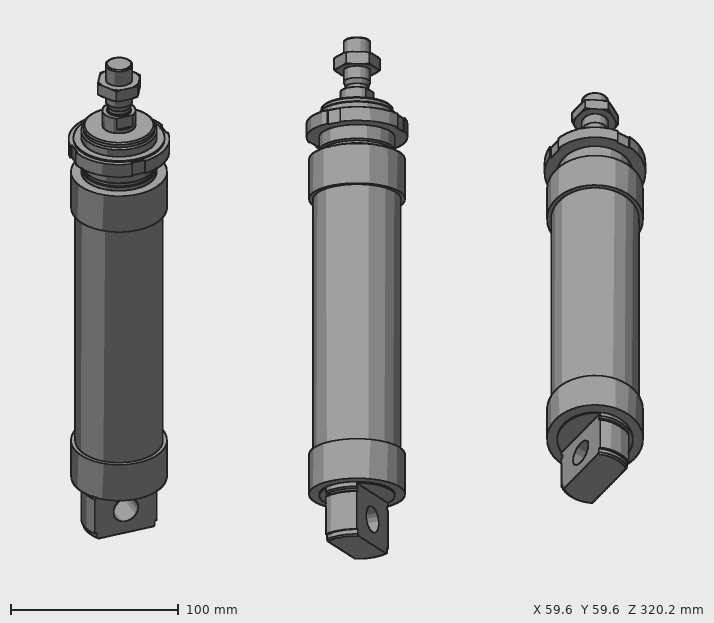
import cadquery as cq
import math


tube_diameter = 52.5
cap_diameter = 57.3
cap_length = 25.0
rear_cap_base = 33.5
front_cap_top = 245.3

spigot_diameter = 45.0
relief_diameter = 43.0
spigot_chamfer = 1.0
lead_length = 4.0

eye_thickness = 20.8
eye_hole_diameter = 16.0
eye_hole_height = 16.0
eye_top = 32.7
rear_groove_bottom = 27.5
rear_groove_top = 30.7

front_groove_bottom = 247.8
front_groove_top = 250.7
spigot_top = 277.5

ring_nut_diameter = 60.2
ring_nut_base = 259.5
ring_nut_height = 9.5
ring_nut_face_diameter = 54.5
ring_nut_step_height = 1.0
notch_count = 4
notch_width = 8.5
notch_depth = 1.3

rod_diameter = 20.0
rod_shoulder = 288.0
flats_width = 17.0
flats_length = 7.7
neck_diameter = 13.8
neck_top = 291.0
neck_flare_diameter = 14.5
neck_flare_height = 1.0
rod_thread_diameter = 16.0
rod_thread_base = 294.3
rod_thread_chamfer = 0.8
rod_top = 320.2

hex_across_flats = 24.0
hex_base = 301.5
hex_height = 7.7
hex_face_diameter = 25.0
hex_chamfer_height = 0.48


def turned(profile):
    """Solid of revolution about Z from (radius, height) points."""
    axis_points = [(0, profile[0][1])] + profile + [(0, profile[-1][1])]
    return cq.Workplane("XZ").polyline(axis_points).close().revolve(360, (0, 0), (0, 1))


def cylinder(diameter, bottom, top):
    return cq.Workplane("XY").workplane(offset=bottom).circle(diameter / 2).extrude(top - bottom)


def make_rear_eye():
    outer = spigot_diameter / 2
    inner = relief_diameter / 2
    eye = turned([
        (inner - spigot_chamfer, 0),
        (inner, spigot_chamfer),
        (inner, lead_length),
        (outer, lead_length),
        (outer, rear_groove_bottom),
        (inner, rear_groove_bottom + spigot_chamfer),
        (inner, rear_groove_top - spigot_chamfer),
        (outer, rear_groove_top),
        (outer, rear_cap_base),
    ])
    tongue = cq.Workplane("XY").box(eye_thickness, spigot_diameter, eye_top, centered=(True, True, False))
    eye = eye.intersect(tongue.union(cylinder(spigot_diameter, eye_top, rear_cap_base)))
    hole = (
        cq.Workplane("YZ")
        .center(0, eye_hole_height)
        .circle(eye_hole_diameter / 2)
        .extrude(eye_thickness, both=True)
    )
    return eye.cut(hole)


def make_barrel():
    cap = cap_diameter / 2
    tube = tube_diameter / 2
    return turned([
        (cap, rear_cap_base),
        (cap, rear_cap_base + cap_length),
        (tube, rear_cap_base + cap_length),
        (tube, front_cap_top - cap_length),
        (cap, front_cap_top - cap_length),
        (cap, front_cap_top),
    ])


def make_front_spigot():
    outer = spigot_diameter / 2
    inner = relief_diameter / 2
    return turned([
        (outer, front_cap_top),
        (outer, front_groove_bottom),
        (inner, front_groove_bottom),
        (inner, front_groove_top - spigot_chamfer),
        (outer, front_groove_top),
        (outer, spigot_top - lead_length),
        (inner, spigot_top - lead_length + spigot_chamfer),
        (inner, spigot_top - spigot_chamfer),
        (inner - spigot_chamfer, spigot_top),
    ])


def make_housing():
    return make_barrel().union(make_rear_eye()).union(make_front_spigot())


def make_ring_nut():
    outer = ring_nut_diameter / 2
    face = ring_nut_face_diameter / 2
    top = ring_nut_base + ring_nut_height
    nut = turned([
        (outer, ring_nut_base),
        (outer, top - ring_nut_step_height),
        (face, top - ring_nut_step_height),
        (face, top),
    ])
    nut = nut.cut(cylinder(spigot_diameter, ring_nut_base, top))
    notches = (
        cq.Workplane("XY")
        .workplane(offset=ring_nut_base)
        .polarArray(outer, 0, 360, notch_count)
        .rect(2 * notch_depth, notch_width)
        .extrude(ring_nut_height)
    )
    return nut.cut(notches)


def make_rod():
    thread = rod_thread_diameter / 2
    rod = turned([
        (rod_diameter / 2, spigot_top),
        (rod_diameter / 2, rod_shoulder),
        (neck_flare_diameter / 2, rod_shoulder),
        (neck_diameter / 2, rod_shoulder + neck_flare_height),
        (neck_diameter / 2, neck_top),
        (thread, rod_thread_base),
        (thread, rod_top - rod_thread_chamfer),
        (thread - rod_thread_chamfer, rod_top),
    ])
    flats = (
        cq.Workplane("XY")
        .workplane(offset=rod_shoulder - flats_length)
        .rect(2 * rod_diameter, rod_diameter)
        .rect(flats_width, rod_diameter)
        .extrude(flats_length)
    )
    return rod.cut(flats)


def make_hex_nut():
    corner = hex_across_flats / math.sqrt(3)
    top = hex_base + hex_height
    nut = (
        cq.Workplane("XY")
        .workplane(offset=hex_base)
        .polygon(6, 2 * corner)
        .extrude(hex_height)
        .rotate((0, 0, 0), (0, 0, 1), 90)
    )
    corner_cone = turned([
        (hex_face_diameter / 2, hex_base),
        (corner, hex_base + hex_chamfer_height),
        (corner, top - hex_chamfer_height),
        (hex_face_diameter / 2, top),
    ])
    return nut.intersect(corner_cone).cut(cylinder(rod_thread_diameter, hex_base, top))


housing = make_housing().solids()
ring_nut = make_ring_nut().solids()
rod = make_rod().solids()
hex_nut = make_hex_nut().solids()

result = cq.Compound.makeCompound([housing.val(), ring_nut.val(), rod.val(), hex_nut.val()])